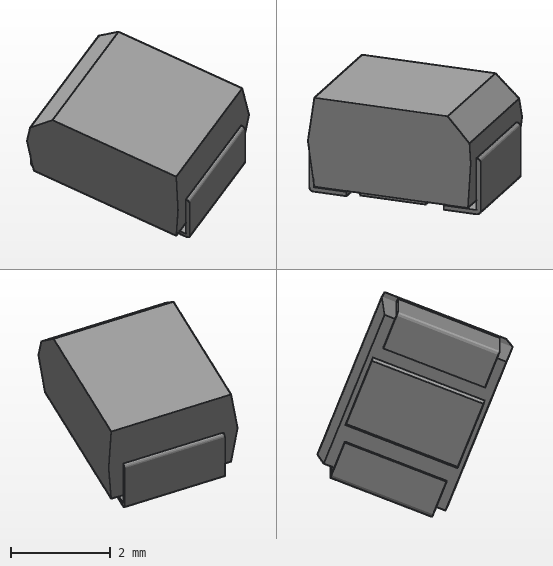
import cadquery as cq

overall_length = 3.69
overall_width = 2.82
overall_height = 2.1

case_length = 3.5
case_bottom_z = 0.2
parting_z = 1.2
draft_inset = 0.1

lead_thickness = (overall_length - case_length) / 2
lead_width = 2.192
lead_foot_length = 0.8
lead_bend_radius = lead_thickness

bevel_top_inset = 0.535
bevel_run = 13.2
bevel_drop = 13.3

pad_bottom_z = 0.1
pad_width = 2.405
pad_top_length = 1.498
pad_bottom_length = 1.4


def case_half(end_z):
    """Drafted half of the case, from the parting plane to its smaller end face."""
    return (
        cq.Workplane("XY")
        .workplane(offset=parting_z)
        .rect(case_length, overall_width)
        .workplane(offset=end_z - parting_z)
        .rect(case_length - 2 * draft_inset, overall_width - 2 * draft_inset)
        .loft(ruled=True, combine=True)
    )


def bevel_cutter():
    """Wedge above the bevel plane, cut square well outside the case."""
    upper_x = -case_length / 2 + bevel_top_inset
    slope = bevel_drop / bevel_run
    outer_x = -overall_length / 2
    clear_z = overall_height + lead_thickness
    clear_x = upper_x + lead_thickness / slope
    outer_z = overall_height - slope * (upper_x - outer_x)
    return (
        cq.Workplane("XZ")
        .polyline([(outer_x, outer_z), (clear_x, clear_z), (outer_x, clear_z)])
        .close()
        .extrude(overall_width / 2, both=True)
    )


def standoff_pad():
    """Pad with sloping ends and straight sides, under the middle of the case."""
    return (
        cq.Workplane("XZ")
        .polyline([
            (-pad_top_length / 2, case_bottom_z),
            (pad_top_length / 2, case_bottom_z),
            (pad_bottom_length / 2, pad_bottom_z),
            (-pad_bottom_length / 2, pad_bottom_z),
        ])
        .close()
        .extrude(pad_width / 2, both=True)
    )


def make_case():
    lower_half = case_half(case_bottom_z)
    upper_half = case_half(overall_height).cut(bevel_cutter())
    return lower_half.union(upper_half).union(standoff_pad())


def make_lead(side):
    """L-shaped lead at the -X end (side = -1) or the +X end (side = 1)."""
    outer_x = side * overall_length / 2
    inner_x = side * case_length / 2
    toe_x = side * (overall_length / 2 - lead_foot_length)
    bend_x = side * (overall_length / 2 - lead_bend_radius)
    arc_radius = -side * lead_bend_radius
    return (
        cq.Workplane("XZ")
        .moveTo(toe_x, 0)
        .lineTo(bend_x, 0)
        .radiusArc((outer_x, lead_bend_radius), arc_radius)
        .lineTo(outer_x, parting_z - lead_bend_radius)
        .radiusArc((bend_x, parting_z), arc_radius)
        .lineTo(inner_x, lead_thickness)
        .lineTo(toe_x, lead_thickness)
        .close()
        .extrude(lead_width / 2, both=True)
    )


case = make_case()
leads = [make_lead(side) for side in (-1, 1)]

result = cq.Compound.makeCompound([case.val(), *[lead.val() for lead in leads]])